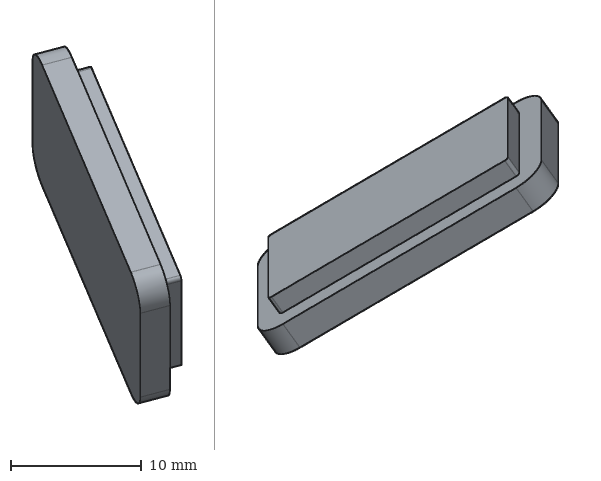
import cadquery as cq

plate_length = 25.84
plate_height = 14.96
plate_thickness = 2.4
plate_corner_radius = 2.3

total_depth = 4.0
boss_depth = total_depth - plate_thickness

rim_width = 2.0
boss_length = plate_length - 2 * rim_width
boss_height = plate_height - 2 * rim_width
boss_corner_radius = plate_corner_radius - rim_width


def rounded_block(length, depth, height, corner_radius, front_y):
    """Block centred in X and Z, starting at front_y, with its Y-direction edges rounded."""
    block = cq.Workplane("XY").box(length, depth, height, centered=(True, False, True))
    return block.edges("|Y").fillet(corner_radius).translate((0, front_y, 0))


plate = rounded_block(plate_length, plate_thickness, plate_height, plate_corner_radius, 0)
boss = rounded_block(boss_length, boss_depth, boss_height, boss_corner_radius, plate_thickness)

result = plate.union(boss)